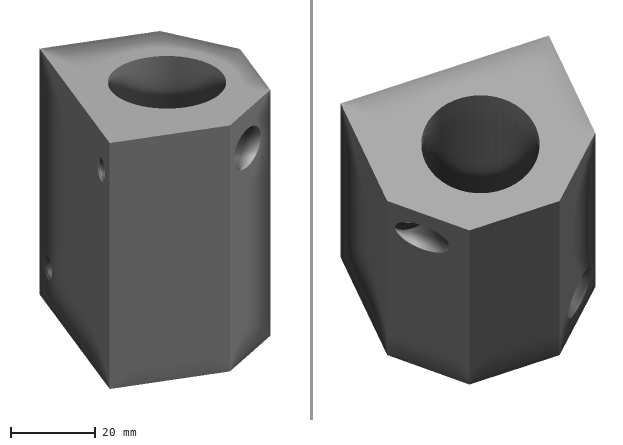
import cadquery as cq

width = 53.0
depth = 45.0
height = 65.0
bevel = 15.0

bore_diameter = 28.0
bore_from_front = 23.0

hole_diameter = 5.0
hole_mouth_diameter = 6.0
hole_offset_x = 20.0
hole_end_margin = 10.0
head_diameter = 10.0
head_floor_from_front = 29.95

mouth_chamfer = (hole_mouth_diameter - hole_diameter) / 2
hole_offset_z = height / 2 - hole_end_margin


def cylinder_along_y(x, z, diameter, start, end):
    """Cylinder parallel to Y between two distances from the front face."""
    axis = cq.Vector(0, 1, 0)
    return cq.Solid.makeCylinder(diameter / 2, end - start, cq.Vector(x, start, z), axis)


def screw_hole(x, z):
    """Cutter for a through hole with a chamfered mouth and a rear head recess."""
    shank = cylinder_along_y(x, z, hole_diameter, 0, depth)
    head = cylinder_along_y(x, z, head_diameter, head_floor_from_front, depth)
    mouth = cq.Solid.makeCone(
        hole_mouth_diameter / 2,
        hole_diameter / 2,
        mouth_chamfer,
        cq.Vector(x, 0, z),
        cq.Vector(0, 1, 0),
    )
    return cq.Workplane(obj=shank).union(cq.Workplane(obj=head)).union(cq.Workplane(obj=mouth))


result = (
    cq.Workplane("XY")
    .box(width, depth, height, centered=(True, False, True))
    .edges("|Z and >Y")
    .chamfer(bevel)
)

bore = (
    cq.Workplane("XY")
    .center(0, bore_from_front)
    .circle(bore_diameter / 2)
    .extrude(height / 2, both=True)
)
result = result.cut(bore)

for side in (-1, 1):
    result = result.cut(screw_hole(side * hole_offset_x, side * hole_offset_z))